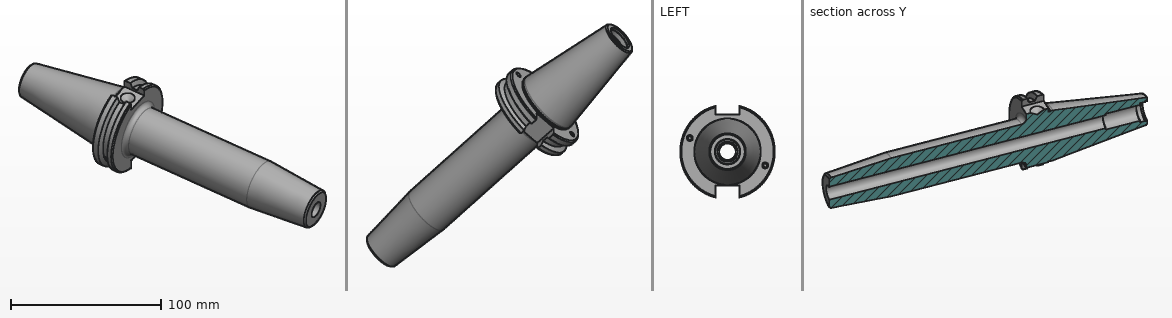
import cadquery as cq
import math

total_length = 228.2
gauge_x = 68.0
neck_start_x = 69.6
flange_start_x = 71.0
flange_end_x = 87.0
nose_start_x = 184.0

taper_small_diameter = 24.7
gauge_diameter = 44.5
neck_diameter = 43.5
flange_diameter = 63.2
groove_diameter = 56.1
body_diameter = 34.0
nose_diameter = 27.2
end_chamfer = 1.0
nose_chamfer = 1.1
flange_chamfer = 1.0
body_fillet = 3.5

groove_center_x = 79.5
groove_floor_width = 3.9
groove_mouth_width = 7.0

through_diameter = 11.0
thread_diameter = 13.5
thread_depth = 29.7
counterbore_diameter = 17.1
pilot_diameter = 16.2
counterbore_depth = 1.5
pilot_depth = 5.2

notch_width = 16.0
upper_notch_height = 24.9
lower_notch_height = 22.5
dimple_diameter = 9.5
dimple_point_angle = 118.0
dimple_depth = dimple_diameter / 2 / math.tan(math.radians(dimple_point_angle / 2))

coolant_angle = 20.0
coolant_radius = 26.7
face_hole_diameter = 4.0
face_hole_depth = 2.7
link_hole_diameter = 2.5
groove_hole_diameter = 3.2
groove_hole_depth = 3.2


def make_body():
    """Revolve the outer profile, from the taper to the nose, about X."""
    flange_radius = flange_diameter / 2
    groove_radius = groove_diameter / 2
    body_radius = body_diameter / 2
    fillet_offset = body_fillet * (1 - math.sqrt(0.5))
    profile = (
        cq.Workplane("XY")
        .lineTo(0, taper_small_diameter / 2 - end_chamfer)
        .lineTo(end_chamfer, taper_small_diameter / 2)
        .lineTo(gauge_x, gauge_diameter / 2)
        .lineTo(neck_start_x, gauge_diameter / 2)
        .lineTo(neck_start_x, neck_diameter / 2)
        .lineTo(flange_start_x, neck_diameter / 2)
        .lineTo(flange_start_x, flange_radius - flange_chamfer)
        .lineTo(flange_start_x + flange_chamfer, flange_radius)
        .lineTo(groove_center_x - groove_mouth_width / 2, flange_radius)
        .lineTo(groove_center_x - groove_floor_width / 2, groove_radius)
        .lineTo(groove_center_x + groove_floor_width / 2, groove_radius)
        .lineTo(groove_center_x + groove_mouth_width / 2, flange_radius)
        .lineTo(flange_end_x - flange_chamfer, flange_radius)
        .lineTo(flange_end_x, flange_radius - flange_chamfer)
        .lineTo(flange_end_x, body_radius + body_fillet)
        .threePointArc(
            (flange_end_x + fillet_offset, body_radius + fillet_offset),
            (flange_end_x + body_fillet, body_radius),
        )
        .lineTo(nose_start_x, body_radius)
        .lineTo(total_length - nose_chamfer, nose_diameter / 2)
        .lineTo(total_length, nose_diameter / 2 - nose_chamfer)
        .lineTo(total_length, 0)
        .close()
    )
    return profile.revolve(360, (0, 0, 0), (1, 0, 0))


def axial_hole(diameter, depth):
    """Cylinder on the X axis, starting at the small end."""
    return cq.Workplane("YZ").circle(diameter / 2).extrude(depth)


def make_bore():
    """Through bore with its thread, pilot and counterbore steps."""
    return (
        axial_hole(through_diameter, total_length)
        .union(axial_hole(thread_diameter, thread_depth))
        .union(axial_hole(pilot_diameter, pilot_depth))
        .union(axial_hole(counterbore_diameter, counterbore_depth))
    )


def make_notch(floor_height, side):
    """Drive notch across the flange; side is +1 above the axis, -1 below."""
    height = flange_diameter / 2 - floor_height
    length = flange_end_x - flange_start_x
    center = (
        (flange_start_x + flange_end_x) / 2,
        0,
        side * (floor_height + height / 2),
    )
    return cq.Workplane("XY").box(length, notch_width, height).translate(center)


def make_dimple():
    """Conical dimple in the floor of the upper notch."""
    cone = cq.Solid.makeCone(
        dimple_diameter / 2,
        0,
        dimple_depth,
        pnt=cq.Vector((flange_start_x + flange_end_x) / 2, 0, upper_notch_height),
        dir=cq.Vector(0, 0, -1),
    )
    return cq.Workplane(cone)


def make_coolant_passage(angle):
    """Stepped axial hole from the taper side, met by a radial hole from the groove."""
    y_direction = math.cos(math.radians(angle))
    z_direction = math.sin(math.radians(angle))
    entry = cq.Vector(flange_start_x, coolant_radius * y_direction, coolant_radius * z_direction)
    along_axis = cq.Vector(1, 0, 0)
    face_hole = cq.Solid.makeCylinder(face_hole_diameter / 2, face_hole_depth, entry, along_axis)
    link_hole = cq.Solid.makeCylinder(
        link_hole_diameter / 2, groove_center_x - flange_start_x, entry, along_axis
    )
    groove_radius = groove_diameter / 2
    groove_hole = cq.Solid.makeCylinder(
        groove_hole_diameter / 2,
        groove_hole_depth,
        cq.Vector(groove_center_x, groove_radius * y_direction, groove_radius * z_direction),
        cq.Vector(0, -y_direction, -z_direction),
    )
    axial_holes = cq.Workplane(face_hole).union(cq.Workplane(link_hole))
    return axial_holes.union(cq.Workplane(groove_hole))


result = make_body().cut(make_bore())
result = result.cut(make_notch(upper_notch_height, 1))
result = result.cut(make_notch(lower_notch_height, -1))
result = result.cut(make_dimple())
for passage_angle in (coolant_angle, coolant_angle + 180):
    result = result.cut(make_coolant_passage(passage_angle))